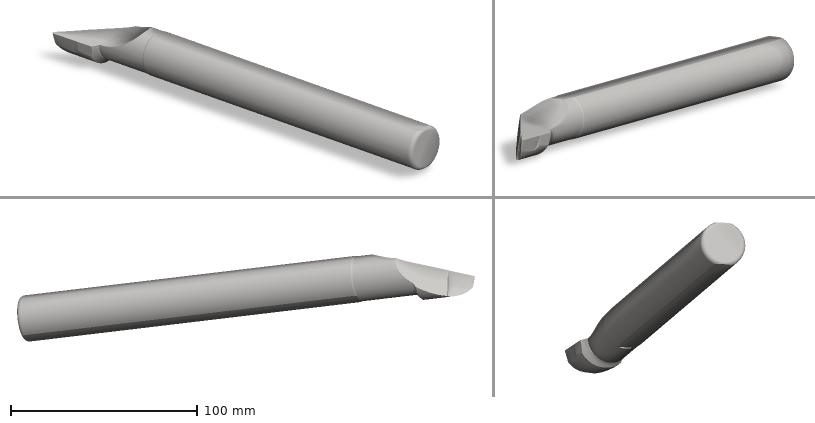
import cadquery as cq
import math

total_length = 250.0
shank_radius = 12.5
overall_height = 26.1
flat_height = 11.5
neck_radius = 12.2
neck_end_x = 60.0
shoulder_length = 0.8
end_fillet_radius = 2.2

head_radius = 14.5
head_axis_y = shank_radius - head_radius
head_axis_z = flat_height + head_radius - overall_height
head_end_x = 29.3
head_cone_length = 3.4

tip_y = -17.0
rake_roll = 10.0
rake_pitch = 1.5
side_angle = 3.0
flank_angle = 38.0
clearance_angle = 7.0
nose_radius = 0.8
nose_relief_depth = 8.3
body_proud_x = 0.5
body_proud_y = 0.1
flank_step_x = 11.9
side_step_start = (14.3, 1.9)
side_step_end = (17.5, 0.6)
wedge_reach = 120.0
wedge_depth = 25.0
step_margin = 1.0

insert_side = 16.3
insert_thickness = 4.8

gullet_center_x = 6.5
gullet_center_y = 17.0
gullet_floor_radius = 25.0
gullet_sweep_radius = 28.0
gullet_height = 26.0

rake_plane = cq.Plane(
    origin=(0, tip_y, 0),
    xDir=(1, 0, -math.tan(math.radians(rake_pitch))),
    normal=(math.tan(math.radians(rake_pitch)), -math.tan(math.radians(rake_roll)), 1),
)


def polar(length, angle):
    """Offset of the given length at an angle from local X, in degrees."""
    return (length * math.cos(math.radians(angle)), length * math.sin(math.radians(angle)))


def nose_outline(side_length):
    """Two edges meeting at the rounded nose, as sketch points."""
    side = polar(1.0, side_angle)
    flank = polar(1.0, flank_angle)
    half_angle = math.radians(flank_angle - side_angle) / 2
    bisector = polar(1.0, (side_angle + flank_angle) / 2)
    center = (nose_radius, nose_radius)
    to_corner = nose_radius / math.sin(half_angle)
    corner = (center[0] - to_corner * bisector[0], center[1] - to_corner * bisector[1])
    tangent = nose_radius / math.tan(half_angle)

    def along(direction, length):
        return (corner[0] + length * direction[0], corner[1] + length * direction[1])

    return {
        "corner": corner,
        "side_end": along(side, side_length),
        "side_tangent": along(side, tangent),
        "nose": (center[0] - nose_radius * bisector[0], center[1] - nose_radius * bisector[1]),
        "flank_tangent": along(flank, tangent),
        "flank_end": along(flank, side_length),
    }


def nose_prism(side_length, depth, taper, rhombus):
    """Prism below the rake face with a rounded nose; a triangle or a rhombus."""
    points = nose_outline(side_length)
    outline = (
        cq.Workplane(rake_plane)
        .moveTo(*points["side_end"])
        .lineTo(*points["side_tangent"])
        .threePointArc(points["nose"], points["flank_tangent"])
        .lineTo(*points["flank_end"])
    )
    if rhombus:
        outline = outline.lineTo(
            points["side_end"][0] + points["flank_end"][0] - points["corner"][0],
            points["side_end"][1] + points["flank_end"][1] - points["corner"][1],
        )
    return outline.close().extrude(-depth, taper=taper)


def make_insert():
    return nose_prism(insert_side, insert_thickness, clearance_angle, True)


def x_cylinder(radius, start_x, end_x, y=0.0, z=0.0):
    return cq.Workplane("YZ", origin=(start_x, y, z)).circle(radius).extrude(end_x - start_x)


def make_shank():
    length = total_length - neck_end_x
    shank = x_cylinder(shank_radius, neck_end_x, total_length)
    shank = shank.faces(">X").edges().fillet(end_fillet_radius)
    shank = shank.faces("<X").chamfer(shoulder_length, shank_radius - neck_radius)
    flats = cq.Workplane("XY", origin=(neck_end_x, 0, 0)).box(
        length, 2 * shank_radius, 2 * flat_height, centered=(False, True, True)
    )
    return shank.intersect(flats)


def make_neck():
    neck = x_cylinder(neck_radius, 0, neck_end_x)
    top = cq.Workplane("XY", origin=(0, 0, flat_height)).box(
        neck_end_x, 2 * neck_radius, neck_radius, centered=(False, True, False)
    )
    return neck.cut(top)


def make_head():
    head = x_cylinder(head_radius, 0, head_end_x, head_axis_y, head_axis_z)
    return head.faces(">X").chamfer(head_cone_length)


def make_head_limits():
    """Space the front end may fill: a relieved nose, with the body standing proud behind it."""
    nose_top = nose_prism(wedge_reach, nose_relief_depth, clearance_angle, False)
    nose_base = (
        nose_top.faces(cq.DirectionMinMaxSelector(rake_plane.zDir, False))
        .wires()
        .toPending()
        .workplane()
        .extrude(wedge_depth - nose_relief_depth)
    )
    nose = nose_top.union(nose_base)
    points = nose_outline(wedge_reach)
    body_outline = [
        (x - body_proud_x, y - body_proud_y)
        for x, y in (points["corner"], points["side_end"], points["flank_end"])
    ]
    body = cq.Workplane(rake_plane).polyline(body_outline).close().extrude(wedge_depth, both=True)
    behind_step = (
        cq.Workplane(rake_plane)
        .moveTo(flank_step_x, wedge_reach)
        .lineTo(flank_step_x, side_step_start[1])
        .lineTo(*side_step_start)
        .lineTo(*side_step_end)
        .lineTo(side_step_end[0], -step_margin)
        .lineTo(wedge_reach, -step_margin)
        .lineTo(wedge_reach, wedge_reach)
        .close()
        .extrude(wedge_depth, both=True)
    )
    return nose.union(body.intersect(behind_step))


def make_gullet():
    sweep_angle = math.acos(1 - gullet_height / gullet_sweep_radius)
    rim = gullet_floor_radius + gullet_sweep_radius * math.sin(sweep_angle)
    mid_angle = sweep_angle / 2
    mid = (
        gullet_floor_radius + gullet_sweep_radius * math.sin(mid_angle),
        gullet_sweep_radius * (1 - math.cos(mid_angle)),
    )
    axis_point = rake_plane.toWorldCoords((gullet_center_x, gullet_center_y, 0))
    section = cq.Plane(origin=axis_point, xDir=rake_plane.xDir, normal=-rake_plane.yDir)
    return (
        cq.Workplane(section)
        .lineTo(gullet_floor_radius, 0)
        .threePointArc(mid, (rim, gullet_height))
        .lineTo(0, gullet_height)
        .close()
        .revolve(360, (0, 0, 0), (0, 1, 0))
    )


def make_holder(insert):
    """Boring bar with a seat that matches the insert."""
    front_end = make_neck().union(make_head())
    front_end = front_end.cut(make_gullet()).intersect(make_head_limits())
    return front_end.union(make_shank()).cut(insert)


insert = make_insert()
holder = make_holder(insert)
result = cq.Compound.makeCompound([holder.solids().val(), insert.val()])